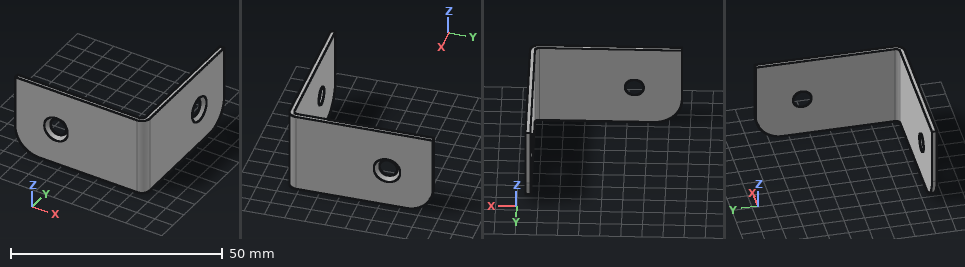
import cadquery as cq

leg_length = 36.0
height = 21.0
thickness = 1.2

bend_inner_radius = 1.0
bend_outer_radius = bend_inner_radius + thickness

corner_radius = 6.5

hole_from_end = 11.3
hole_from_top = 11.0
hole_diameter = 4.4
sink_diameter = 6.5
sink_angle = 90.0


def bent_sheet():
    """L-shaped sheet, outer faces at Y = 0 and X = leg_length, base at Z = 0."""
    sheet = (
        cq.Workplane("XY")
        .moveTo(0, 0)
        .lineTo(leg_length, 0)
        .lineTo(leg_length, leg_length)
        .lineTo(leg_length - thickness, leg_length)
        .lineTo(leg_length - thickness, thickness)
        .lineTo(0, thickness)
        .close()
        .extrude(height)
    )
    outer_corner = cq.NearestToPointSelector((leg_length, 0, height / 2))
    inner_corner = cq.NearestToPointSelector((leg_length - thickness, thickness, height / 2))
    sheet = sheet.edges("|Z").edges(outer_corner).fillet(bend_outer_radius)
    return sheet.edges("|Z").edges(inner_corner).fillet(bend_inner_radius)


def round_free_ends(sheet):
    """Round the lower corner at the free end of both legs."""
    sheet = sheet.faces("<X").edges("<Z").fillet(corner_radius)
    return sheet.faces(">Y").edges("<Z").fillet(corner_radius)


def add_screw_hole(sheet, outer_face, center):
    """Cut a through hole, countersunk from the outer face of a leg."""
    return (
        sheet.faces(outer_face)
        .workplane(origin=center)
        .cskHole(hole_diameter, sink_diameter, sink_angle, depth=thickness)
    )


hole_height = height - hole_from_top

result = round_free_ends(bent_sheet())
result = add_screw_hole(result, "<Y", (hole_from_end, 0, hole_height))
result = add_screw_hole(result, ">X", (leg_length, leg_length - hole_from_end, hole_height))